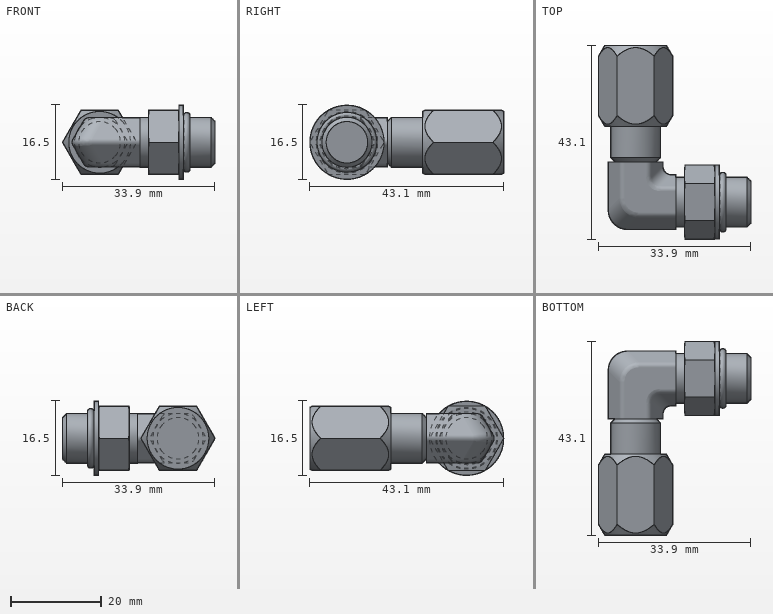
import cadquery as cq
import math

overall_x = 33.9
overall_y = 43.1

nut_corner_radius = 16.5 / 2
nut_face_radius = 13.7 / 2
body_flat_radius = 5.47
body_corner_radius = body_flat_radius / math.cos(math.radians(30))
body_length = 8.95
body_edge_fillet = 1.35
outer_bend_radius = 5.0
inner_bend_radius = 2.35

stem_radius = 11.1 / 2
stem_bevel = 0.95
stem_neck_radius = stem_radius - stem_bevel

lock_nut_start = 10.8
lock_nut_end = 17.63
lock_chamfer_angle = 6.0
washer_thickness = 1.0
washer_radius = nut_corner_radius
oring_wire_radius = 1.5 / 2
oring_outer_radius = 6.65
stud_end = overall_x - nut_corner_radius

cap_nut_start = 16.8
cap_nut_end = overall_y - washer_radius
cap_chamfer_angle = 60.0

X_PLANE = cq.Plane(origin=(0, 0, 0), xDir=(0, 1, 0), normal=(1, 0, 0))
Y_PLANE = cq.Plane(origin=(0, 0, 0), xDir=(1, 0, 0), normal=(0, 1, 0))


def hexagon(plane, start, end, corner_radius):
    """Hexagonal bar along the plane normal with two corners in the XY plane."""
    return (
        cq.Workplane(plane)
        .workplane(offset=start)
        .polygon(6, 2 * corner_radius)
        .extrude(end - start)
    )


def turned(plane, profile):
    """Solid of revolution about the plane normal from (axial, radius) corner points."""
    axis_start = (profile[0][0], 0)
    axis_end = (profile[-1][0], 0)
    return (
        cq.Workplane(cq.Plane(plane.origin, xDir=plane.zDir, normal=(0, 0, 1)))
        .polyline([axis_start] + profile + [axis_end])
        .close()
        .revolve(360, (0, 0), (1, 0))
    )


def hex_nut(plane, start, end, chamfer_angle):
    """Hexagon nut with its corners turned off conically at both ends."""
    chamfer_length = (nut_corner_radius - nut_face_radius) * math.tan(math.radians(chamfer_angle))
    envelope = turned(plane, [
        (start, nut_face_radius),
        (start + chamfer_length, nut_corner_radius),
        (end - chamfer_length, nut_corner_radius),
        (end, nut_face_radius),
    ])
    return hexagon(plane, start, end, nut_corner_radius).intersect(envelope)


def body_arm(plane, far_corner):
    """Hexagonal bar trimmed to its own side of the 45 degree mitre through the origin."""
    bar = hexagon(plane, -body_corner_radius, body_length, body_corner_radius)
    own_side = (
        cq.Workplane("XY")
        .polyline([(-body_length, -body_length), (body_length, body_length), far_corner])
        .close()
        .extrude(body_length, both=True)
    )
    return bar.intersect(own_side)


def mitre_edges(side):
    """Selector for the two sloping mitre edges: side -1 is outside the bend, +1 inside."""
    middle = side * 0.75 * body_corner_radius
    slack = 0.45
    return cq.selectors.BoxSelector(
        (middle - slack, middle - slack, -body_flat_radius),
        (middle + slack, middle + slack, body_flat_radius),
    )


def elbow_body():
    """Mitred hexagonal elbow, rounded first across the mitre and then along its length."""
    x_arm = body_arm(X_PLANE, (body_length, -body_length))
    y_arm = body_arm(Y_PLANE, (-body_length, body_length))
    body = x_arm.union(y_arm)
    body = body.edges(mitre_edges(-1)).fillet(outer_bend_radius)
    body = body.edges(mitre_edges(1)).fillet(inner_bend_radius)
    return body.edges("|X and (not >Y)").fillet(body_edge_fillet)


def cap_arm():
    """Bevelled round stem carrying the long cap nut along +Y."""
    stem = turned(Y_PLANE, [
        (0, stem_neck_radius),
        (body_length, stem_neck_radius),
        (body_length + stem_bevel, stem_radius),
        (cap_nut_end, stem_radius),
    ])
    return stem.union(hex_nut(Y_PLANE, cap_nut_start, cap_nut_end, cap_chamfer_angle))


def stud_arm():
    """Bevelled stud along +X with its lock nut, washer and O-ring."""
    stud = turned(X_PLANE, [
        (body_length, stem_radius),
        (stud_end - stem_bevel, stem_radius),
        (stud_end, stem_neck_radius),
    ])
    lock_nut = hex_nut(X_PLANE, lock_nut_start, lock_nut_end, lock_chamfer_angle)
    washer_end = lock_nut_end + washer_thickness
    washer = turned(X_PLANE, [(lock_nut_end, washer_radius), (washer_end, washer_radius)])
    ring_radius = oring_outer_radius - oring_wire_radius
    oring = (
        cq.Workplane("XY")
        .moveTo(washer_end + oring_wire_radius, ring_radius)
        .circle(oring_wire_radius)
        .revolve(360, (0, 0), (1, 0))
    )
    return stud.union(lock_nut).union(washer).union(oring)


result = elbow_body().union(cap_arm()).union(stud_arm())